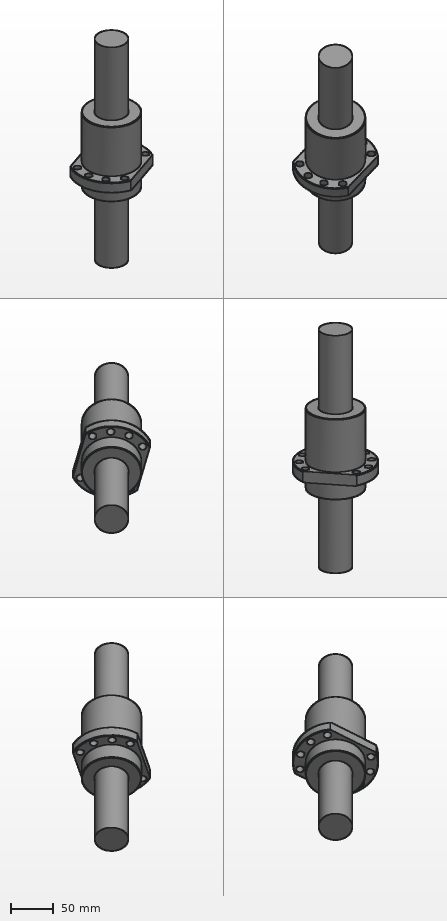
import cadquery as cq
import math

shaft_length = 300.0
shaft_diameter = 39.3

body_diameter = 70.0
bore_diameter = 40.2
nut_bottom = 99.0
nut_length = shaft_length - 2 * nut_bottom
flange_offset = 21.0
flange_bottom = nut_bottom + flange_offset
flange_thickness = 14.0
flange_diameter = 100.0
flange_width = 77.0
edge_chamfer = 1.0

hole_diameter = 9.0
bolt_circle_diameter = 85.0
hole_angles_from_y = (15, 45)


def make_shaft():
    return cq.Workplane("XY").circle(shaft_diameter / 2).extrude(shaft_length)


def make_flange():
    disc = (
        cq.Workplane("XY")
        .workplane(offset=flange_bottom)
        .circle(flange_diameter / 2)
        .extrude(flange_thickness)
        .edges()
        .chamfer(edge_chamfer)
    )
    flats = (
        cq.Workplane("XY")
        .workplane(offset=flange_bottom)
        .rect(flange_width, flange_diameter)
        .extrude(flange_thickness)
    )
    return disc.intersect(flats)


def hole_centers():
    radius = bolt_circle_diameter / 2
    return [
        (x_side * radius * math.sin(math.radians(angle)), y_side * radius * math.cos(math.radians(angle)))
        for angle in hole_angles_from_y
        for x_side in (-1, 1)
        for y_side in (-1, 1)
    ]


def make_nut():
    body = (
        cq.Workplane("XY")
        .workplane(offset=nut_bottom)
        .circle(body_diameter / 2)
        .extrude(nut_length)
        .edges()
        .chamfer(edge_chamfer)
    )
    screw_holes = (
        cq.Workplane("XY")
        .workplane(offset=flange_bottom)
        .pushPoints(hole_centers())
        .circle(hole_diameter / 2)
        .extrude(flange_thickness)
    )
    bore = (
        cq.Workplane("XY")
        .workplane(offset=nut_bottom)
        .circle(bore_diameter / 2)
        .extrude(nut_length)
    )
    return body.union(make_flange()).cut(screw_holes).cut(bore)


shaft = make_shaft()
nut = make_nut()

result = cq.Compound.makeCompound([shaft.val(), nut.val()])